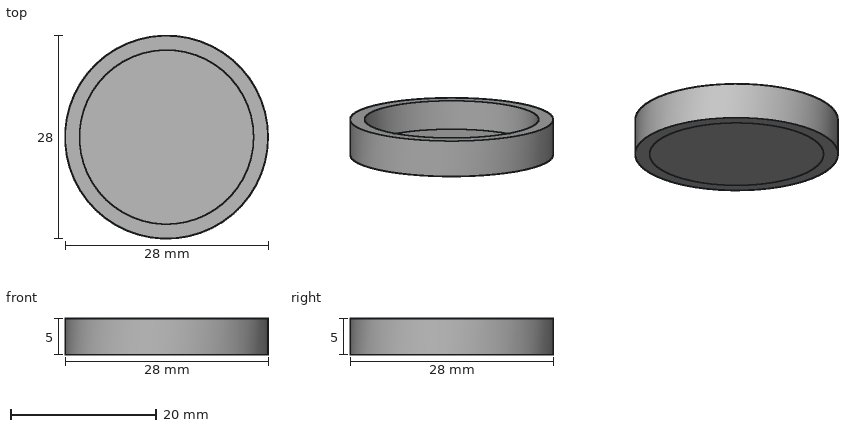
import cadquery as cq

outer_diameter = 28.0
inner_diameter = 24.0
ring_height = 5.0
disc_thickness = 1.0


def make_ring():
    """Plain ring, open from top to bottom, standing on Z = 0."""
    return (
        cq.Workplane("XY")
        .circle(outer_diameter / 2)
        .circle(inner_diameter / 2)
        .extrude(ring_height)
    )


def make_disc():
    """Floor disc that fills the bore of the ring, flush with its underside."""
    return cq.Workplane("XY").circle(inner_diameter / 2).extrude(disc_thickness)


ring = make_ring()
disc = make_disc()

result = cq.Compound.makeCompound([ring.val(), disc.val()])